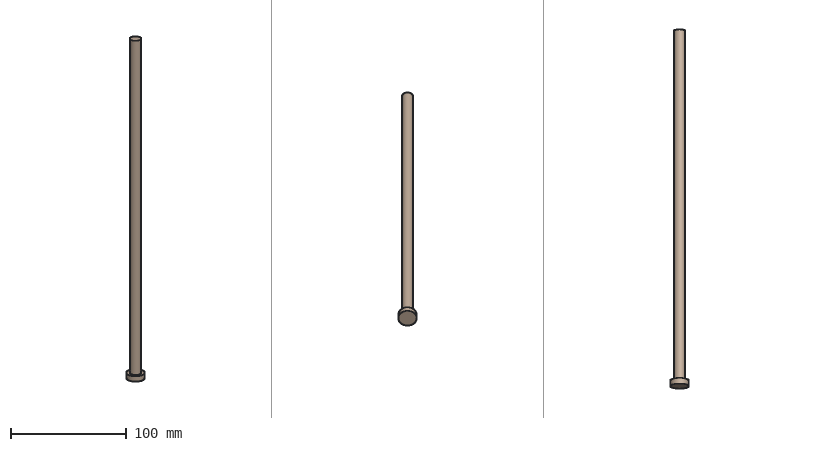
import cadquery as cq

total_length = 320.0
head_diameter = 16.0
head_thickness = 5.0
shank_diameter = 10.0

head = cq.Workplane("XY").circle(head_diameter / 2).extrude(head_thickness)
shank = cq.Workplane("XY").circle(shank_diameter / 2).extrude(total_length)

result = head.union(shank)